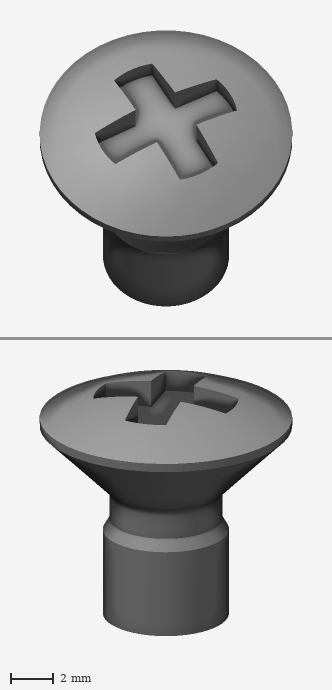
import cadquery as cq
import math

head_diameter = 12.0
shank_diameter = 6.0
neck_diameter = 5.35

shank_top = 4.28
neck_bottom = 4.85
neck_top = 6.05
cone_bottom = 6.42
rim_bottom = 9.56
rim_top = 9.98
recess_corner_height = 11.32

slot_inner_width = 2.12
slot_tip_width = 2.05
recess_diameter = 6.89
recess_floor = rim_top
cutter_clearance = 0.6

head_radius = head_diameter / 2
shank_radius = shank_diameter / 2
neck_radius = neck_diameter / 2
cone_bottom_radius = head_radius - (rim_bottom - cone_bottom)

corner_radius = slot_inner_width / math.sqrt(2)
corner_rise = recess_corner_height - rim_top
centre_drop = (head_radius**2 - corner_radius**2 - corner_rise**2) / (2 * corner_rise)
crown_radius = math.hypot(head_radius, centre_drop)


def crown_height(radius):
    """Height of the crown at a given distance from the axis."""
    return rim_top - centre_drop + math.sqrt(crown_radius**2 - radius**2)


def screw_body():
    """Shank, neck and raised countersunk head turned about Z."""
    profile = (
        cq.Workplane("XZ")
        .lineTo(shank_radius, 0)
        .lineTo(shank_radius, shank_top)
        .lineTo(neck_radius, neck_bottom)
        .lineTo(neck_radius, neck_top)
        .tangentArcPoint((cone_bottom_radius, cone_bottom), relative=False)
        .lineTo(head_radius, rim_bottom)
        .lineTo(head_radius, rim_top)
        .threePointArc((head_radius / 2, crown_height(head_radius / 2)), (0, crown_height(0)))
        .close()
    )
    return profile.revolve(360, (0, 0, 0), (0, 1, 0))


def cross_recess():
    """Flat-bottomed cross cutter with slightly tapering arms that end on a common cylinder."""
    depth = crown_height(0) - recess_floor + cutter_clearance
    tip = recess_diameter / 2
    tip_half_width = slot_tip_width / 2
    inner = slot_inner_width / 2
    floor = cq.Workplane("XY").workplane(offset=recess_floor)

    arm_outline = [
        (tip, -tip_half_width),
        (tip, tip_half_width),
        (inner, inner),
        (-inner, inner),
        (-tip, tip_half_width),
        (-tip, -tip_half_width),
        (-inner, -inner),
        (inner, -inner),
    ]
    arm_x = floor.polyline(arm_outline).close().extrude(depth)
    arm_y = arm_x.rotate((0, 0, 0), (0, 0, 1), 90)
    envelope = floor.circle(tip).extrude(depth)
    return arm_x.union(arm_y).intersect(envelope)


result = screw_body().cut(cross_recess())